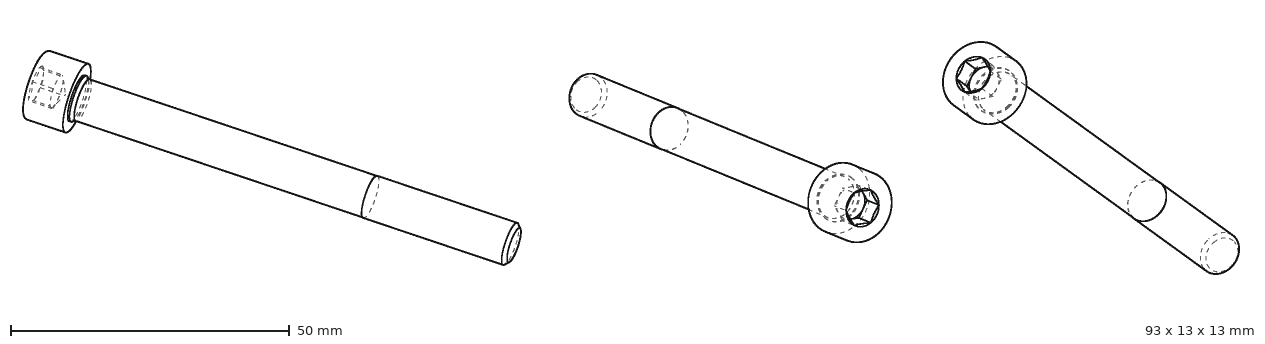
import cadquery as cq
import math

total_length = 93.0
head_diameter = 13.0
head_height = 8.0
head_edge_radius = 0.65

neck_diameter = 8.0
shank_diameter = 7.9
thread_diameter = 8.0
thread_length = 28.0
tip_chamfer = 0.7
flare_radius = 0.4
flare_collar_length = 0.4
neck_length = 1.1

socket_width = 6.0
socket_depth = 4.0
socket_corner_diameter = socket_width / math.cos(math.radians(30))
socket_mouth_angle = 60.0
drill_tip_angle = 120.0

head_radius = head_diameter / 2
neck_radius = neck_diameter / 2
shank_radius = shank_diameter / 2
thread_radius = thread_diameter / 2
thread_start = total_length - thread_length


def make_body():
    """Revolve head, flared neck, plain shank and thread envelope about X."""
    collar_radius = neck_radius + flare_radius
    flare_start = head_height + flare_collar_length
    flare_end = flare_start + flare_radius
    neck_end = head_height + neck_length
    profile = (
        cq.Workplane("XY")
        .lineTo(0, head_radius - head_edge_radius)
        .radiusArc((head_edge_radius, head_radius), head_edge_radius)
        .lineTo(head_height, head_radius)
        .lineTo(head_height, collar_radius)
        .lineTo(flare_start, collar_radius)
        .radiusArc((flare_end, neck_radius), -flare_radius)
        .lineTo(neck_end, neck_radius)
        .lineTo(neck_end, shank_radius)
        .lineTo(thread_start, shank_radius)
        .lineTo(thread_start, thread_radius)
        .lineTo(total_length - tip_chamfer, thread_radius)
        .lineTo(total_length, thread_radius - tip_chamfer)
        .lineTo(total_length, 0)
        .close()
    )
    return profile.revolve(360, (0, 0, 0), (1, 0, 0))


def make_cone(start, radius, height):
    """Cone about X with its base at start, narrowing to a point towards +X."""
    return cq.Workplane(cq.Solid.makeCone(radius, 0, height, cq.Vector(start, 0, 0), cq.Vector(1, 0, 0)))


def make_socket():
    """Hexagon with flats facing +Z and -Z, countersunk mouth and drill point."""
    hexagon = cq.Workplane("YZ").polygon(6, socket_corner_diameter).extrude(socket_depth)
    mouth_radius = socket_corner_diameter / 2
    mouth = make_cone(0, mouth_radius, mouth_radius / math.tan(math.radians(socket_mouth_angle)))
    drill_radius = socket_width / 2
    drill_tip = make_cone(
        socket_depth, drill_radius, drill_radius / math.tan(math.radians(drill_tip_angle / 2))
    )
    return hexagon.union(mouth).union(drill_tip)


result = make_body().cut(make_socket())